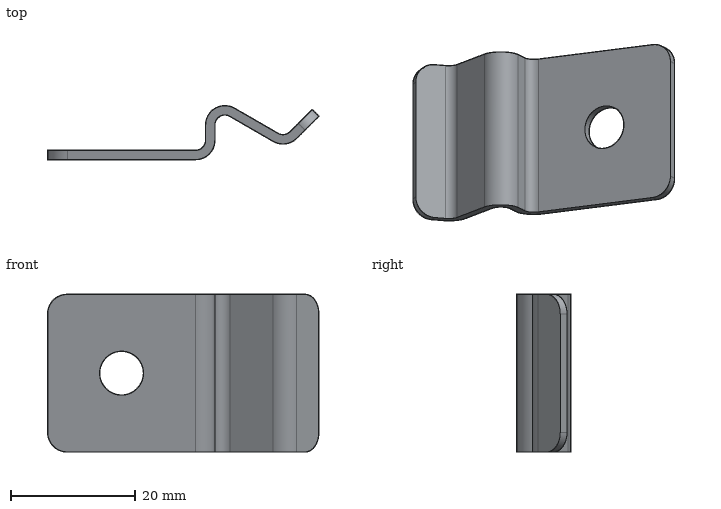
import cadquery as cq
import math

strip_width = 25.4
thickness = 1.54

inner_radius = 1.5875
outer_radius = inner_radius + thickness
mid_radius = inner_radius + thickness / 2
ramp_angle = 30.0
lip_angle = 45.0

overall_length = 43.66
base_length = 23.8125
web_length = 2.46
ramp_length = 8.06

hole_diameter = 7.0
hole_x = base_length / 2
corner_radius = 3.175


def forward(point, heading, distance):
    """Point reached by travelling straight along a heading in degrees."""
    angle = math.radians(heading)
    return point[0] + distance * math.cos(angle), point[1] + distance * math.sin(angle)


def around(point, heading, turn):
    """Point reached along the mid-plane bend arc; a positive turn goes left."""
    side = math.copysign(90, turn)
    center = forward(point, heading + side, mid_radius)
    return forward(center, heading + turn - side, mid_radius)


def flat(start, heading, length):
    """Straight stretch of sheet whose mid-plane begins at start."""
    angle = math.radians(heading)
    plane = cq.Plane(
        origin=(start[0], start[1], 0),
        xDir=(math.cos(angle), math.sin(angle), 0),
        normal=(0, 0, 1),
    )
    return (
        cq.Workplane(plane)
        .rect(length, thickness, centered=(False, True))
        .extrude(strip_width / 2, both=True)
    )


def bend(start, heading, turn):
    """Curved stretch of sheet, tangent to the flats on both sides."""
    side = math.copysign(90, turn)
    center = forward(start, heading + side, mid_radius)

    def arc_point(radius, angle):
        return forward(center, heading - side + angle, radius)

    return (
        cq.Workplane("XY")
        .moveTo(*arc_point(inner_radius, 0))
        .threePointArc(arc_point(inner_radius, turn / 2), arc_point(inner_radius, turn))
        .lineTo(*arc_point(outer_radius, turn))
        .threePointArc(arc_point(outer_radius, turn / 2), arc_point(outer_radius, 0))
        .close()
        .extrude(strip_width / 2, both=True)
    )


def base():
    """Mounting flat with two rounded corners and a through hole."""
    plate = flat(base_start, 0, base_length)
    plate = plate.edges("|Y and <X").fillet(corner_radius)
    hole = (
        cq.Workplane("XZ", origin=(hole_x, 0, 0))
        .circle(hole_diameter / 2)
        .extrude(thickness, both=True)
    )
    return plate.cut(hole)


def lip():
    """Sloping end flat with its two free corners rounded."""
    angle = math.radians(lip_angle)
    corner_reach = thickness / 2 * math.sin(angle)
    length = (overall_length - corner_reach - lip_start[0]) / math.cos(angle)
    plate = flat(lip_start, lip_angle, length)
    outward = cq.Vector(math.cos(angle), math.sin(angle), 0)
    end_face = plate.faces(cq.selectors.DirectionMinMaxSelector(outward))
    return end_face.edges("not |Z").fillet(corner_radius)


base_start = (0, thickness / 2)
base_end = forward(base_start, 0, base_length)
web_start = around(base_end, 0, 90)
web_end = forward(web_start, 90, web_length)
crest_turn = -90 - ramp_angle
ramp_start = around(web_end, 90, crest_turn)
ramp_end = forward(ramp_start, -ramp_angle, ramp_length)
valley_turn = ramp_angle + lip_angle
lip_start = around(ramp_end, -ramp_angle, valley_turn)

result = (
    base()
    .union(bend(base_end, 0, 90))
    .union(flat(web_start, 90, web_length))
    .union(bend(web_end, 90, crest_turn))
    .union(flat(ramp_start, -ramp_angle, ramp_length))
    .union(bend(ramp_end, -ramp_angle, valley_turn))
    .union(lip())
)